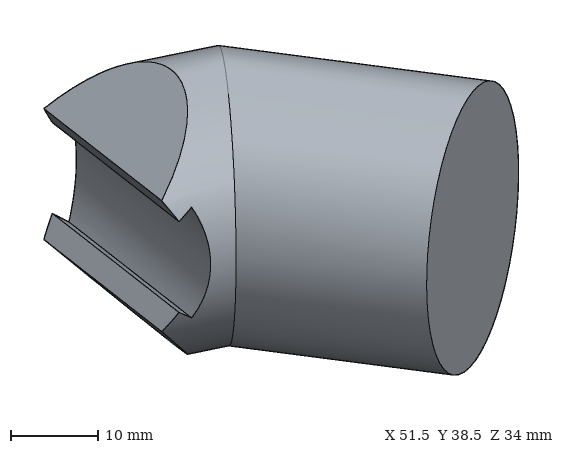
import cadquery as cq
import math

bar_radius = 17.0
long_arm_length = 30.0
bend_angle = 45.0

groove_radius = 14.85
groove_axis_distance = 25.15

pad_angle = 33.5
pad_distance = 12.53
pad_width = 3.0
bevel_angle = 45.0

blank_length = 3 * bar_radius
cutter_size = 4 * blank_length
envelope_half_size = 2 * bar_radius


def cradle_point(along_radius, across_radius):
    """Point in the (arm axis, Z) plane, set out from the groove axis along the upper pad's centre line."""
    tilt = math.radians(pad_angle)
    return (
        groove_axis_distance - along_radius * math.cos(tilt) + across_radius * math.sin(tilt),
        along_radius * math.sin(tilt) + across_radius * math.cos(tilt),
    )


def mirrored(point):
    return (point[0], -point[1])


def make_bar(direction, end_distance):
    """Round bar reaching end_distance from the bend centre and running back past it."""
    backward_start = direction * -blank_length
    plane = cq.Plane(origin=backward_start.toTuple(), xDir=(0, 0, 1), normal=direction)
    return cq.Workplane(plane).circle(bar_radius).extrude(blank_length + end_distance)


def make_mitre_half_space():
    """Block on the long arm side of the mitre plane."""
    start = cq.Workplane("XY")
    block = start.box(cutter_size, cutter_size, cutter_size, centered=(False, True, True))
    return block.rotate((0, 0, 0), (0, 0, 1), bend_angle / 2)


def make_short_arm_envelope(arm_direction, groove_direction):
    """Cradle profile in the (arm axis, Z) plane, extruded along the groove."""
    half_width = pad_width / 2
    pad_outer = cradle_point(pad_distance, half_width)
    pad_inner = cradle_point(pad_distance, -half_width)
    pad_root = cradle_point(math.sqrt(groove_radius**2 - half_width**2), -half_width)
    groove_bottom = (groove_axis_distance - groove_radius, 0)

    bevel_run = (envelope_half_size - pad_outer[1]) / math.tan(math.radians(bevel_angle))
    bevel_end = (pad_outer[0] - bevel_run, envelope_half_size)
    back_end = (-blank_length, envelope_half_size)

    plane = cq.Plane(origin=(0, 0, 0), xDir=arm_direction, normal=groove_direction)
    profile = (
        cq.Workplane(plane)
        .moveTo(*back_end)
        .lineTo(*bevel_end)
        .lineTo(*pad_outer)
        .lineTo(*pad_inner)
        .lineTo(*pad_root)
        .threePointArc(groove_bottom, mirrored(pad_root))
        .lineTo(*mirrored(pad_inner))
        .lineTo(*mirrored(pad_outer))
        .lineTo(*mirrored(bevel_end))
        .lineTo(*mirrored(back_end))
        .close()
    )
    return profile.extrude(envelope_half_size, both=True)


def make_short_arm():
    """Bar along the bent direction, ending in the cradle."""
    bend = math.radians(bend_angle)
    arm_direction = cq.Vector(-math.cos(bend), -math.sin(bend), 0)
    groove_direction = arm_direction.cross(cq.Vector(0, 0, 1))
    bar = make_bar(arm_direction, blank_length)
    return bar.intersect(make_short_arm_envelope(arm_direction, groove_direction))


mitre_half_space = make_mitre_half_space()
long_arm = make_bar(cq.Vector(1, 0, 0), long_arm_length).intersect(mitre_half_space)
short_arm = make_short_arm().cut(mitre_half_space)

result = long_arm.union(short_arm)